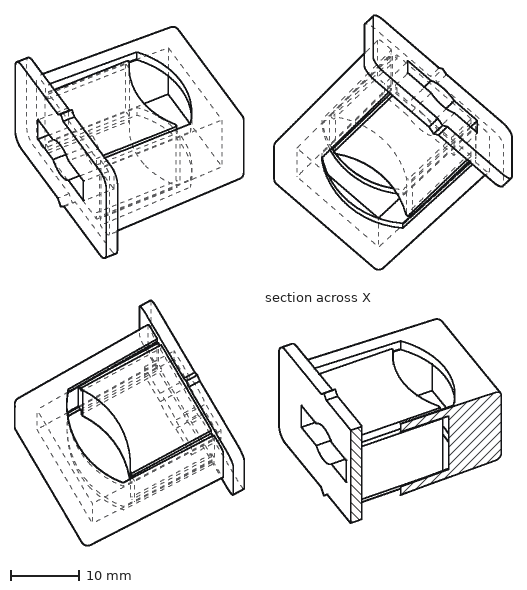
import cadquery as cq


FLANGE_WIDTH = 28.0
FLANGE_HEIGHT = 18.0
FLANGE_THICKNESS = 1.88
FLANGE_CORNER_RADIUS = 2.0
TOP_MARK_WIDTH = 1.5
TOP_MARK_HEIGHT = 0.8
BOTTOM_MARK_WIDTH = 1.9
BOTTOM_MARK_HEIGHT = 1.0

TOTAL_LENGTH = 25.0
FLANGE_GAP = 0.1
DRAFT_ANGLE = 1.0
HOUSING_WIDTH = 22.5
HOUSING_HEIGHT = 14.0
HOUSING_FILLET = 1.0
CAVITY_WALL = 2.65
WINDOW_WIDTH = 16.9
PLATE_THICKNESS = 1.65

CLAMP_RADIUS = 13.0
WINDOW_APEX_Y = 20.02

BODY_WIDTH = 16.7
BODY_HEIGHT = 10.2
BODY_END_Y = 15.3
PAD_WIDTH = 15.0
PAD_HEIGHT = 13.0
PLUNGER_APEX_Y = 13.15

SLOT_WIDTH = 14.0
SLOT_HEIGHT = 4.2
SLOT_BORE_DIAMETER = 6.3
SLOT_DEPTH = 5.0

HOUSING_START_Y = FLANGE_THICKNESS + FLANGE_GAP
HOUSING_LENGTH = TOTAL_LENGTH - HOUSING_START_Y
CAVITY_WIDTH = HOUSING_WIDTH - 2 * CAVITY_WALL
CAVITY_HEIGHT = HOUSING_HEIGHT - 2 * PLATE_THICKNESS
CAVITY_LENGTH = HOUSING_LENGTH - CAVITY_WALL


def drafted_block(width, height, length):
    """Block that starts at the housing mouth and narrows towards +Y on all four sides."""
    mouth = cq.Plane(origin=(0, HOUSING_START_Y, 0), xDir=(1, 0, 0), normal=(0, 1, 0))
    return cq.Workplane(mouth).rect(width, height).extrude(length, taper=DRAFT_ANGLE)


def straight_block(width, height, start_y, end_y):
    """Block centred on the Y axis between two Y places."""
    return cq.Workplane("XY").box(width, end_y - start_y, height).translate((0, (start_y + end_y) / 2, 0))


def clamp_cylinder(center_y):
    """Vertical cylinder of the clamping radius that passes through every body."""
    return cq.Workplane("XY").center(0, center_y).circle(CLAMP_RADIUS).extrude(FLANGE_HEIGHT / 2, both=True)


def make_window_cutter():
    """Drafted opening through both plates, ending in the clamping arc and narrower than the cavity."""
    opening = drafted_block(WINDOW_WIDTH, FLANGE_HEIGHT, CAVITY_LENGTH)
    arc_center_y = WINDOW_APEX_Y - CLAMP_RADIUS
    arc_end = clamp_cylinder(arc_center_y)
    mouth_side = straight_block(FLANGE_WIDTH, FLANGE_HEIGHT, 0, arc_center_y)
    return opening.intersect(arc_end.union(mouth_side))


def make_housing():
    shell = drafted_block(HOUSING_WIDTH, HOUSING_HEIGHT, HOUSING_LENGTH)
    shell = shell.edges("not <Y").fillet(HOUSING_FILLET)
    cavity = drafted_block(CAVITY_WIDTH, CAVITY_HEIGHT, CAVITY_LENGTH)
    return shell.cut(cavity).cut(make_window_cutter())


def make_mark(width, height, direction):
    """Pointed mark on the top (+1) or bottom (-1) edge of the flange."""
    edge_z = direction * FLANGE_HEIGHT / 2
    tip_z = edge_z + direction * height
    outline = [(-width / 2, 0), (-width / 2, edge_z), (0, tip_z), (width / 2, edge_z), (width / 2, 0)]
    return cq.Workplane("XZ").polyline(outline).close().extrude(-FLANGE_THICKNESS)


def make_flange():
    plate = straight_block(FLANGE_WIDTH, FLANGE_HEIGHT, 0, FLANGE_THICKNESS)
    plate = plate.edges("|Y").fillet(FLANGE_CORNER_RADIUS)
    plate = plate.union(make_mark(TOP_MARK_WIDTH, TOP_MARK_HEIGHT, 1))
    return plate.union(make_mark(BOTTOM_MARK_WIDTH, BOTTOM_MARK_HEIGHT, -1))


def make_tool_pocket():
    slot = straight_block(SLOT_WIDTH, SLOT_HEIGHT, 0, SLOT_DEPTH)
    bore = cq.Workplane("XZ").circle(SLOT_BORE_DIAMETER / 2).extrude(-SLOT_DEPTH)
    return slot.union(bore)


def make_plunger():
    body = straight_block(BODY_WIDTH, BODY_HEIGHT, FLANGE_THICKNESS, BODY_END_Y)
    pads = straight_block(PAD_WIDTH, PAD_HEIGHT, FLANGE_THICKNESS, BODY_END_Y)
    plunger = make_flange().union(body).union(pads)
    plunger = plunger.cut(clamp_cylinder(PLUNGER_APEX_Y + CLAMP_RADIUS))
    return plunger.cut(make_tool_pocket())


housing = make_housing()
plunger = make_plunger()

result = cq.Compound.makeCompound([housing.val(), plunger.val()])